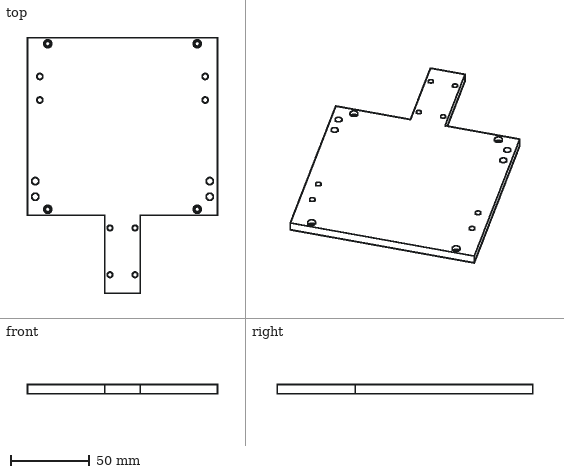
import cadquery as cq

total_length = 164.0
plate_width = 122.0
thickness = 6.0
tab_length = 50.0
tab_width = 23.0
plate_length = total_length - tab_length

corner_half_spacing = 47.9
corner_edge_inset = 4.0
corner_hole_diameter = 3.1
counterbore_diameter = 5.1
counterbore_depth = thickness / 2
corner_rows = [tab_length + corner_edge_inset, total_length - corner_edge_inset]

upper_half_spacing = 53.0
upper_hole_diameter = 3.6
upper_first_row = 124.0
upper_row_pitch = 15.1
upper_rows = [upper_first_row, upper_first_row + upper_row_pitch]

lower_half_spacing = 56.0
lower_hole_diameter = 4.5
lower_first_row = 62.0
lower_row_pitch = 10.0
lower_rows = [lower_first_row, lower_first_row + lower_row_pitch]

tab_half_spacing = 8.0
tab_hole_diameter = 3.3
tab_first_row = 12.0
tab_row_pitch = 30.0
tab_rows = [tab_first_row, tab_first_row + tab_row_pitch]


def mirrored_points(half_spacing, rows):
    """Points on both sides of the symmetry plane, one pair per row."""
    return [(side * half_spacing, y) for side in (-1, 1) for y in rows]


def top_plane(body):
    """Workplane on the top face, keeping the part's X and Y origin."""
    return body.faces(">Z").workplane(origin=(0, 0, thickness))


plate = (
    cq.Workplane("XY")
    .box(plate_width, plate_length, thickness, centered=(True, False, False))
    .translate((0, tab_length, 0))
)
tab = cq.Workplane("XY").box(tab_width, tab_length, thickness, centered=(True, False, False))
result = plate.union(tab).clean()

for half_spacing, rows, diameter in (
    (upper_half_spacing, upper_rows, upper_hole_diameter),
    (lower_half_spacing, lower_rows, lower_hole_diameter),
    (tab_half_spacing, tab_rows, tab_hole_diameter),
):
    result = top_plane(result).pushPoints(mirrored_points(half_spacing, rows)).hole(diameter)

result = (
    top_plane(result)
    .pushPoints(mirrored_points(corner_half_spacing, corner_rows))
    .cboreHole(corner_hole_diameter, counterbore_diameter, counterbore_depth)
)